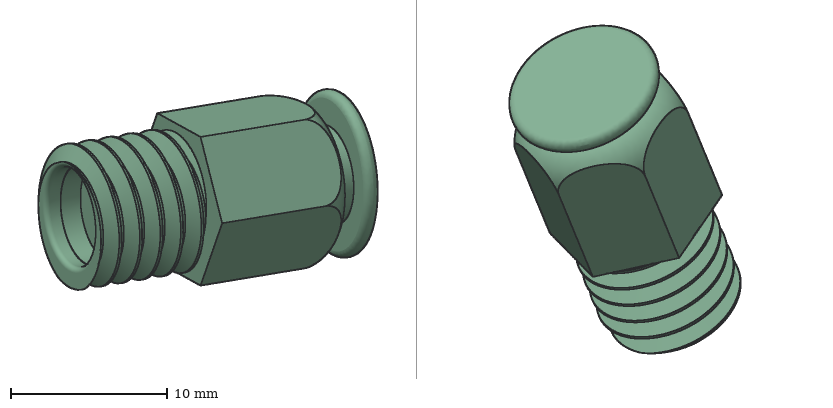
import cadquery as cq
import math

thread_length = 8.0
hex_length = 10.0
neck_length = 1.0
flange_thickness = 1.0

across_flats = 10.0
across_corners = across_flats / math.cos(math.radians(30))
dome_radius = 2.5

thread_diameter = 9.4
root_diameter = 7.22
pitch = 1.5
crest_width = 0.18
root_width = 0.18
flank_slope = (pitch - crest_width - root_width) / (thread_diameter - root_diameter)
groove_clearance = 0.05
root_y_at_top = -0.48

bore_diameter = 6.5
bore_mouth_diameter = 7.18
bore_land_depth = 1.15
inner_bore_diameter = 6.55
bore_depth = 2.6

neck_diameter = 6.5
flange_width = 10.0
flange_height = 11.0
flange_rounding = 0.48


def cylinder_along_y(diameter, start_y, length):
    """Solid cylinder on the Y axis, from start_y towards +Y."""
    plane = cq.Plane(origin=(0, start_y, 0), xDir=(1, 0, 0), normal=(0, 1, 0))
    return cq.Workplane(plane).circle(diameter / 2).extrude(length)


def make_hex_body():
    """Hexagonal prism with corners on +X and -X and a rounded rear end."""
    plane = cq.Plane(origin=(0, 0, 0), xDir=(1, 0, 0), normal=(0, 1, 0))
    prism = cq.Workplane(plane).polygon(6, across_corners).extrude(hex_length)
    dome_limit = cylinder_along_y(across_corners, 0, hex_length).faces(">Y").edges().fillet(dome_radius)
    return prism.intersect(dome_limit)


def helix_edge(radius, z_offset, turns):
    """One edge of the groove: a helix about Z that starts on the +X side."""
    helix = cq.Wire.makeHelix(pitch, turns * pitch, radius)
    return helix.translate(cq.Vector(0, 0, z_offset)).Edges()[0]


def make_thread_groove():
    """V-shaped helical groove, long enough to run past both ends of the threaded stub."""
    root_radius = root_diameter / 2
    outer_radius = thread_diameter / 2 + groove_clearance
    half_root = root_width / 2
    half_mouth = half_root + (outer_radius - root_radius) * flank_slope
    turns = math.ceil(thread_length / pitch) + 2

    corners = [
        (root_radius, -half_root),
        (outer_radius, -half_mouth),
        (outer_radius, half_mouth),
        (root_radius, half_root),
    ]
    edges = [helix_edge(radius, z_offset, turns) for radius, z_offset in corners]
    next_edges = edges[1:] + edges[:1]
    faces = [cq.Face.makeRuledSurface(edge, after) for edge, after in zip(edges, next_edges)]
    for end in (0, 1):
        end_points = [edge.positionAt(end) for edge in edges]
        faces.append(cq.Face.makeFromWires(cq.Wire.makePolygon(end_points, close=True)))
    groove = cq.Workplane(obj=cq.Solid.makeSolid(cq.Shell.makeShell(faces)))

    groove = groove.rotate((0, 0, 0), (0, 0, 1), -90).rotate((0, 0, 0), (1, 0, 0), -90)
    return groove.translate((0, root_y_at_top - (turns - 1) * pitch, 0))


def make_threaded_stub():
    stub = cylinder_along_y(thread_diameter, -thread_length, thread_length)
    return stub.cut(make_thread_groove())


def make_bore():
    """Blind bore: rounded mouth, narrow land, slightly wider inner part."""
    front_y = -thread_length
    mouth_radius = (bore_mouth_diameter - bore_diameter) / 2
    inner_start = front_y + bore_land_depth
    arc_offset = mouth_radius * (1 - math.cos(math.radians(45)))
    return (
        cq.Workplane("XY")
        .moveTo(0, front_y)
        .lineTo(bore_mouth_diameter / 2, front_y)
        .threePointArc(
            (bore_diameter / 2 + arc_offset, front_y + arc_offset),
            (bore_diameter / 2, front_y + mouth_radius),
        )
        .lineTo(bore_diameter / 2, inner_start)
        .lineTo(inner_bore_diameter / 2, inner_start)
        .lineTo(inner_bore_diameter / 2, front_y + bore_depth)
        .lineTo(0, front_y + bore_depth)
        .close()
        .revolve(360, (0, 0, 0), (0, 1, 0))
    )


def make_housing():
    return make_hex_body().union(make_threaded_stub()).cut(make_bore())


def make_flange():
    """Oval disc with both rims rounded."""
    start_y = hex_length + neck_length
    plane = cq.Plane(origin=(0, start_y, 0), xDir=(1, 0, 0), normal=(0, 1, 0))
    disc = cq.Workplane(plane).ellipse(flange_width / 2, flange_height / 2).extrude(flange_thickness)
    return disc.edges().fillet(flange_rounding)


def make_collar():
    neck = cylinder_along_y(neck_diameter, hex_length, neck_length)
    return neck.union(make_flange())


housing = make_housing()
collar = make_collar()

result = cq.Compound.makeCompound([housing.val(), collar.val()])